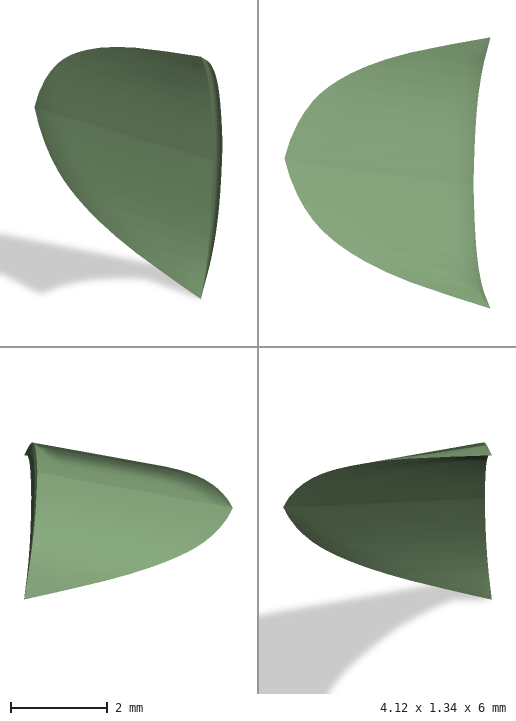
import cadquery as cq

length = 4.12
depth = 1.34
height = 6.0
end_thickness = 0.61

tip = (0, 0)
flank_points = [(0.27, 0.81), (0.66, 1.43), (1.34, 1.99), (2.465, 2.52)]
corner = (length, height / 2)


def rim_plane_y(x):
    """Y of the slanted plane that holds the whole rim."""
    return -depth * x / length


def rim_point(point, side):
    x, z = point
    return cq.Vector(x, rim_plane_y(x), side * z)


def half_rim(side):
    """Edge from the tip to the corner, above (side=1) or below (side=-1)."""
    path = [rim_point(p, side) for p in [tip, *flank_points, corner]]
    return cq.Edge.makeSpline(path)


def swept_rim(direction):
    """Solid made by moving the flat area inside the rim along a direction."""
    chord = cq.Edge.makeLine(rim_point(corner, 1), rim_point(corner, -1))
    rim = cq.Wire.assembleEdges([half_rim(1), chord, half_rim(-1)])
    return cq.Workplane(obj=cq.Solid.extrudeLinear(rim, [], direction))


back = swept_rim(cq.Vector(length, 0, 0))
hollow = swept_rim(cq.Vector(length, -end_thickness, 0))

end_trim = cq.Workplane().box(length, 2 * depth, height).translate((length / 2, 0, 0))

result = back.intersect(end_trim).cut(hollow)